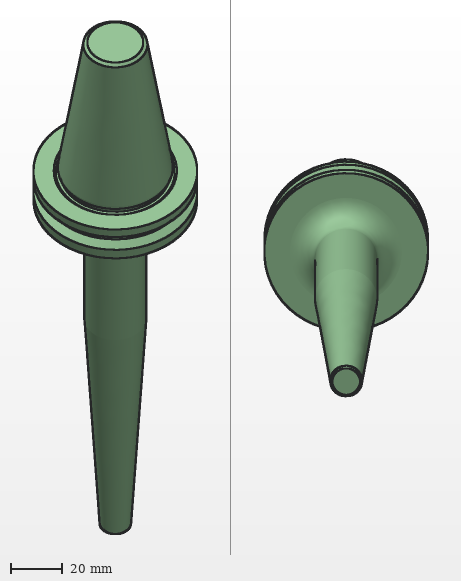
import cadquery as cq
import math

total_length = 268.5

taper_length = 68.5
gauge_radius = 22.3
taper_slope = 7 / 48
top_edge_width = 1.5
top_edge_height = 1.0
gauge_land_height = 1.3

neck_radius = 21.5
recess_radius = 24.0
recess_floor_radius = 23.0
recess_depth = 0.8

flange_radius = 31.8
flange_top = -3.0
flange_bottom = -19.0
groove_floor_radius = 28.2
groove_floor_width = 3.0
groove_center = -10.7
groove_flank_angle = 30.0

shank_radius = 12.0
root_fillet = 9.7
cone_start = -85.0
tip_radius = 6.2
tip_chamfer = 0.8

tip_bottom = taper_length - total_length
taper_edge_z = taper_length - top_edge_height
taper_edge_radius = gauge_radius - taper_slope * taper_edge_z
land_bottom = -gauge_land_height
groove_depth = flange_radius - groove_floor_radius
groove_flank_height = groove_depth * math.tan(math.radians(groove_flank_angle))
floor_top = groove_center + groove_floor_width / 2
floor_bottom = groove_center - groove_floor_width / 2
root_end = flange_bottom - root_fillet
arc_inset = root_fillet * (1 - math.sqrt(0.5))

profile = (
    cq.Workplane("XZ")
    .moveTo(0, taper_length)
    .lineTo(taper_edge_radius - top_edge_width, taper_length)
    .lineTo(taper_edge_radius, taper_edge_z)
    .lineTo(gauge_radius, 0)
    .lineTo(gauge_radius, land_bottom)
    .lineTo(neck_radius, land_bottom)
    .lineTo(neck_radius, flange_top - recess_depth)
    .lineTo(recess_floor_radius, flange_top - recess_depth)
    .lineTo(recess_radius, flange_top)
    .lineTo(flange_radius, flange_top)
    .lineTo(flange_radius, floor_top + groove_flank_height)
    .lineTo(groove_floor_radius, floor_top)
    .lineTo(groove_floor_radius, floor_bottom)
    .lineTo(flange_radius, floor_bottom - groove_flank_height)
    .lineTo(flange_radius, flange_bottom)
    .lineTo(shank_radius + root_fillet, flange_bottom)
    .threePointArc(
        (shank_radius + arc_inset, flange_bottom - arc_inset),
        (shank_radius, root_end),
    )
    .lineTo(shank_radius, cone_start)
    .lineTo(tip_radius, tip_bottom + tip_chamfer)
    .lineTo(tip_radius - tip_chamfer, tip_bottom)
    .lineTo(0, tip_bottom)
    .close()
)

result = profile.revolve(360, (0, 0, 0), (0, 1, 0))